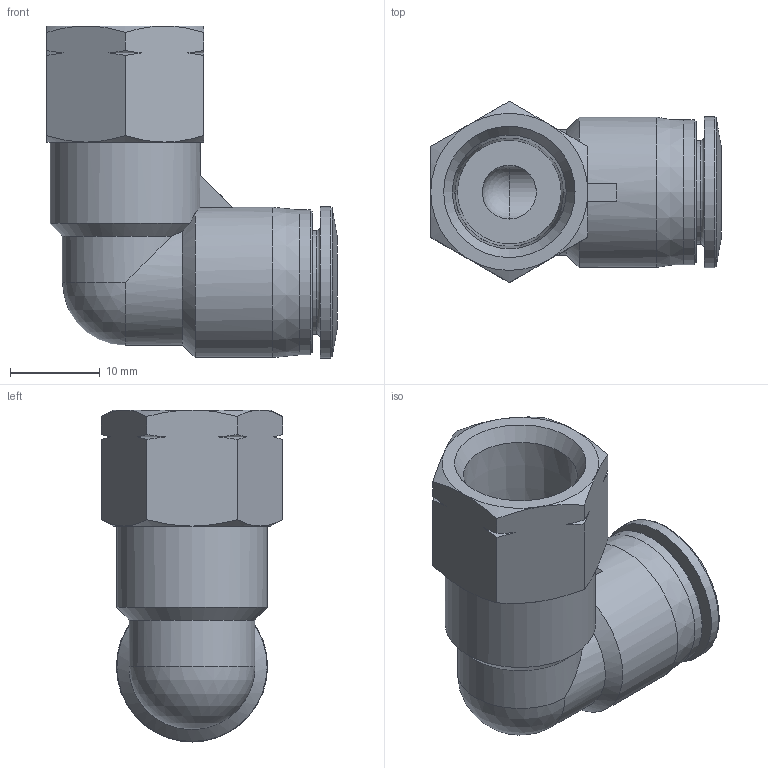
import cadquery as cq
import math


NECK_RADIUS = 14.0 / 2
PASSAGE_RADIUS = 6.0 / 2
BODY_RADIUS = 16.7 / 2
SHOULDER_LENGTH = 1.4

BARREL_CONE_BOTTOM = 5.15
HEX_BOTTOM = 15.6
HEX_TOP = 28.5
HEX_ACROSS_CORNERS = 20.16
HEX_CORNER_RADIUS = HEX_ACROSS_CORNERS / 2
HEX_FLAT_RADIUS = HEX_CORNER_RADIUS * math.cos(math.radians(30))
HEX_CHAMFER_HEIGHT = 0.72

GROOVE_CENTER = 25.5
GROOVE_DEPTH = 0.87
GROOVE_HALF_WIDTH = 0.28

COUNTERSINK_RADIUS = 14.6 / 2
SOCKET_MOUTH_RADIUS = 12.65 / 2
COUNTERSINK_HALF_ANGLE = math.radians(30)
COUNTERSINK_DEPTH = (COUNTERSINK_RADIUS - SOCKET_MOUTH_RADIUS) / math.tan(COUNTERSINK_HALF_ANGLE)
SOCKET_TAPER_LENGTH = 9.0
SOCKET_TAPER_RATIO = 1 / 16
SOCKET_END_RADIUS = SOCKET_MOUTH_RADIUS - SOCKET_TAPER_LENGTH * SOCKET_TAPER_RATIO / 2
SOCKET_FLOOR_RADIUS = 11.53 / 2

SLEEVE_CONE_START = 6.35
SLEEVE_TAPER_START = 16.4
SLEEVE_TAPER_END = 19.4
SLEEVE_END = 20.75
SLEEVE_END_RADIUS = 16.1 / 2
SLEEVE_END_CHAMFER = 0.22

BUTTON_NECK_RADIUS = 11.53 / 2
BUTTON_NECK_FILLET = 0.4
FLANGE_RADIUS = 16.8 / 2
FLANGE_START = 21.65
FLANGE_RIM_END = 22.77
FLANGE_RIM_CHAMFER_LENGTH = 0.22
FLANGE_RIM_CHAMFER_DROP = 0.12
OVERALL_LENGTH = 32.28
BUTTON_END = OVERALL_LENGTH - HEX_FLAT_RADIUS
BUTTON_FACE_RADIUS = 10.2 / 2

RIB_REACH = 20.25
RIB_WIDTH = 2.0


def revolve_about_z(outline):
    """Revolve a closed (radius, z) outline on the XZ plane about the Z axis."""
    return outline.close().revolve(360, (0, 0, 0), (0, 1, 0))


def revolve_about_x(outline):
    """Revolve a closed (x, radius) outline on the XZ plane about the X axis."""
    return outline.close().revolve(360, (0, 0, 0), (1, 0, 0))


def make_elbow(radius, height, length):
    """Mitred round elbow with a spherical outer corner."""
    vertical = cq.Workplane("XY").circle(radius).extrude(height)
    horizontal = cq.Workplane("YZ").circle(radius).extrude(length)
    return vertical.union(horizontal).union(cq.Workplane("XY").sphere(radius))


def make_barrel():
    """Round barrel below the hexagon, with its shoulder cone."""
    outline = cq.Workplane("XZ").polyline([
        (0, BARREL_CONE_BOTTOM),
        (NECK_RADIUS, BARREL_CONE_BOTTOM),
        (BODY_RADIUS, BARREL_CONE_BOTTOM + SHOULDER_LENGTH),
        (BODY_RADIUS, HEX_BOTTOM),
        (0, HEX_BOTTOM),
    ])
    return revolve_about_z(outline)


def make_hexagon():
    """Hexagon with corners on Y, turned chamfers at both ends and a V groove near the top."""
    prism = (
        cq.Workplane("XY", origin=(0, 0, HEX_BOTTOM))
        .polygon(6, HEX_ACROSS_CORNERS)
        .extrude(HEX_TOP - HEX_BOTTOM)
        .rotate((0, 0, 0), (0, 0, 1), 90)
    )
    overrun = 0.5
    slope = HEX_CHAMFER_HEIGHT / (HEX_CORNER_RADIUS - HEX_FLAT_RADIUS)
    outer_radius = HEX_CORNER_RADIUS + overrun
    cone_height = HEX_CHAMFER_HEIGHT + overrun * slope
    envelope = cq.Workplane("XZ").polyline([
        (0, HEX_BOTTOM),
        (HEX_FLAT_RADIUS, HEX_BOTTOM),
        (outer_radius, HEX_BOTTOM + cone_height),
        (outer_radius, HEX_TOP - cone_height),
        (HEX_FLAT_RADIUS, HEX_TOP),
        (0, HEX_TOP),
    ])
    groove_half_width = GROOVE_HALF_WIDTH * (1 + overrun / GROOVE_DEPTH)
    groove = cq.Workplane("XZ").polyline([
        (HEX_CORNER_RADIUS - GROOVE_DEPTH, GROOVE_CENTER),
        (outer_radius, GROOVE_CENTER + groove_half_width),
        (outer_radius, GROOVE_CENTER - groove_half_width),
    ])
    return prism.intersect(revolve_about_z(envelope)).cut(revolve_about_z(groove))


def make_socket():
    """
    Cutter for the countersunk, tapered socket; its lower cone ends in a flat floor
    level with the hexagon bottom.
    """
    taper_top = HEX_TOP - COUNTERSINK_DEPTH
    taper_bottom = taper_top - SOCKET_TAPER_LENGTH
    outline = cq.Workplane("XZ").polyline([
        (0, HEX_TOP),
        (COUNTERSINK_RADIUS, HEX_TOP),
        (SOCKET_MOUTH_RADIUS, taper_top),
        (SOCKET_END_RADIUS, taper_bottom),
        (SOCKET_FLOOR_RADIUS, HEX_BOTTOM),
        (0, HEX_BOTTOM),
    ])
    return revolve_about_z(outline)


def make_sleeve():
    """Horizontal sleeve with its shoulder cone, tapered end and end chamfer."""
    outline = cq.Workplane("XZ").polyline([
        (SLEEVE_CONE_START, 0),
        (SLEEVE_CONE_START, NECK_RADIUS),
        (SLEEVE_CONE_START + SHOULDER_LENGTH, BODY_RADIUS),
        (SLEEVE_TAPER_START, BODY_RADIUS),
        (SLEEVE_TAPER_END, SLEEVE_END_RADIUS),
        (SLEEVE_END - SLEEVE_END_CHAMFER, SLEEVE_END_RADIUS),
        (SLEEVE_END, SLEEVE_END_RADIUS - SLEEVE_END_CHAMFER),
        (SLEEVE_END, 0),
    ])
    return revolve_about_x(outline)


def make_button():
    """Release button: filleted neck, flange with a chamfered rim and a shallow cone face."""
    diagonal = math.sqrt(0.5)
    neck_arc_middle = (
        FLANGE_START - BUTTON_NECK_FILLET * (1 - diagonal),
        BUTTON_NECK_RADIUS + BUTTON_NECK_FILLET * (1 - diagonal),
    )
    outline = (
        cq.Workplane("XZ")
        .moveTo(SLEEVE_END, 0)
        .lineTo(SLEEVE_END, BUTTON_NECK_RADIUS)
        .lineTo(FLANGE_START - BUTTON_NECK_FILLET, BUTTON_NECK_RADIUS)
        .threePointArc(neck_arc_middle, (FLANGE_START, BUTTON_NECK_RADIUS + BUTTON_NECK_FILLET))
        .lineTo(FLANGE_START, FLANGE_RADIUS)
        .lineTo(FLANGE_RIM_END, FLANGE_RADIUS)
        .lineTo(FLANGE_RIM_END + FLANGE_RIM_CHAMFER_LENGTH, FLANGE_RADIUS - FLANGE_RIM_CHAMFER_DROP)
        .lineTo(BUTTON_END, BUTTON_FACE_RADIUS)
        .lineTo(BUTTON_END, 0)
    )
    return revolve_about_x(outline)


def make_rib():
    """Triangular rib bridging the barrel and the sleeve."""
    root = NECK_RADIUS
    return (
        cq.Workplane("XZ")
        .polyline([(root, root), (RIB_REACH - root, root), (root, RIB_REACH - root)])
        .close()
        .extrude(RIB_WIDTH / 2, both=True)
    )


outside = (
    make_elbow(NECK_RADIUS, HEX_BOTTOM, SLEEVE_TAPER_START)
    .union(make_barrel())
    .union(make_hexagon())
    .union(make_sleeve())
    .union(make_button())
    .union(make_rib())
)
passage = make_elbow(PASSAGE_RADIUS, HEX_TOP, BUTTON_END)
result = outside.cut(make_socket()).cut(passage)